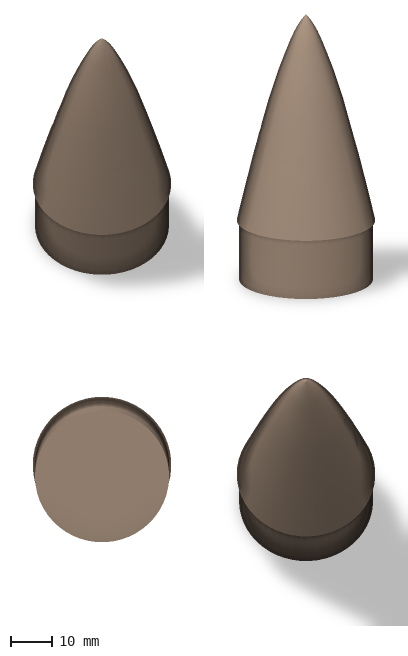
import cadquery as cq

total_height = 67.5
nose_diameter = 33.7
shank_diameter = 32.6
shank_height = 15.0

nose_radius = nose_diameter / 2
curve_points = [
    (13.8, 27.7),
    (11.1, 38.45),
    (7.8, 49.9),
    (4.3, 59.65),
    (2.1, 64.5),
    (0, total_height),
]


def make_shank():
    """Plain cylinder below the nose, standing on the base plane."""
    return cq.Workplane("XY").circle(shank_diameter / 2).extrude(shank_height)


def make_nose():
    """Pointed nose, revolved about Z, overhanging the shank by a small step."""
    return (
        cq.Workplane("XZ")
        .moveTo(0, shank_height)
        .lineTo(nose_radius, shank_height)
        .spline(curve_points, includeCurrent=True)
        .close()
        .revolve(360, (0, 0), (0, 1))
    )


result = make_shank().union(make_nose())